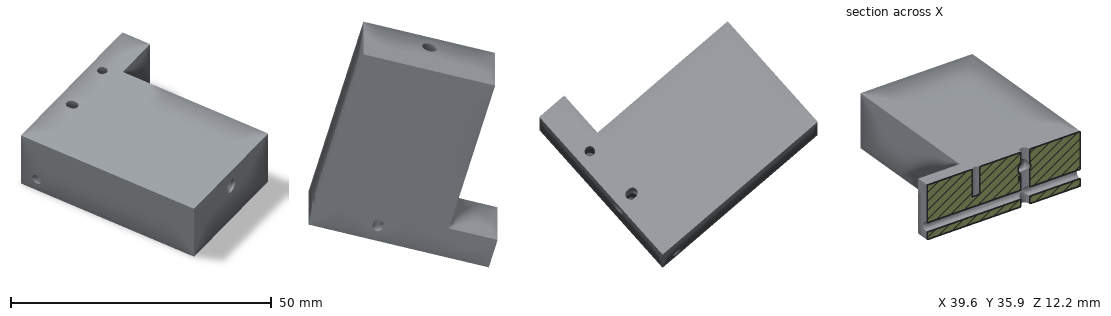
import cadquery as cq

length = 39.55
depth = 35.92
height = 12.2
arm_width = 6.35
body_depth = 26.23

bore_diameter = 2.0
cross_bore_diameter = 2.8
long_bore_x = 3.68
long_bore_z = 2.73
cross_bore_y = 13.15
cross_bore_z = 8.4
port_x = 2.85
port_y = 24.45
port_depth = height / 2
slot_x = 3.4
slot_y = 12.95
slot_length = 2.5


def l_shaped_block():
    """Rectangular body with a narrow arm extending its left side."""
    outline = [
        (0, 0),
        (length, 0),
        (length, body_depth),
        (arm_width, body_depth),
        (arm_width, depth),
        (0, depth),
    ]
    return cq.Workplane("XY").polyline(outline).close().extrude(height)


def long_bore():
    """Bore along Y, from the front face through the end of the arm."""
    profile = cq.Workplane("XZ").center(long_bore_x, long_bore_z).circle(bore_diameter / 2)
    return profile.extrude(-depth)


def cross_bore():
    """Bore along X through the full length of the body."""
    profile = cq.Workplane("YZ").center(cross_bore_y, cross_bore_z).circle(cross_bore_diameter / 2)
    return profile.extrude(length)


def blind_port():
    """Flat-bottomed port drilled down from the top at the root of the arm."""
    top = cq.Workplane("XY").workplane(offset=height)
    return top.center(port_x, port_y).circle(bore_diameter / 2).extrude(-port_depth)


def through_slot():
    """Slightly elongated vertical hole that crosses the cross bore."""
    profile = cq.Workplane("XY").center(slot_x, slot_y).slot2D(slot_length, bore_diameter)
    return profile.extrude(height)


result = l_shaped_block()
for cutter in (long_bore(), cross_bore(), blind_port(), through_slot()):
    result = result.cut(cutter)